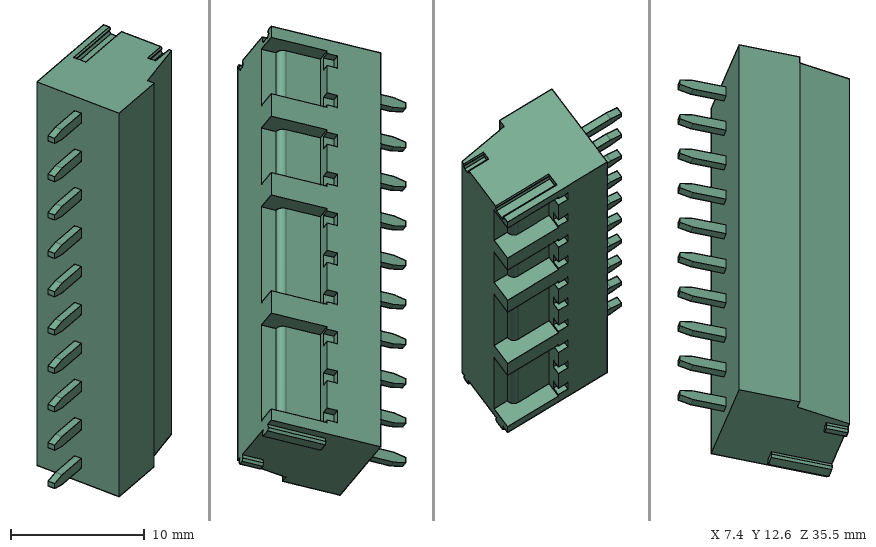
import cadquery as cq

TOTAL_HEIGHT = 35.55
KEY_HEIGHT = 0.57
BODY_HEIGHT = TOTAL_HEIGHT - KEY_HEIGHT
BODY_WIDTH = 7.4
BODY_DEPTH = 9.0

STEP_Y = 4.73
STEP_WIDTH = 0.6
BACK_WIDTH = 6.1

PIN_COUNT = 10
PITCH = BODY_HEIGHT / PIN_COUNT
PIN_LENGTH = 3.6
PIN_THICKNESS = 0.6
PIN_HEIGHT = 0.9
PIN_TIP_LENGTH = 1.0
PIN_TIP_HEIGHT = 0.45

RIB_POSITIONS = [0, 2, 4, 7, 10]
RIB_HALF_HEIGHT = 1.0
RECESS_FRONT_Y = 4.4
RECESS_DEPTH = 1.25
RECESS_BACK_DEPTH = 1.8
RECESS_ROUND = RECESS_BACK_DEPTH - RECESS_DEPTH
RECESS_ROUND_Y = 7.2

NOTCH_LENGTH = 0.85
NOTCH_DEPTH = 0.68
NOTCH_HEIGHT = 1.05

KEYS = [
    (1.05, 1.1, 0.85, 4.73, 4.8),
    (5.5, 0.7, 0.5, 1.7, 1.78),
]
KEY_WIDEST_DEPTH = 0.35
KEY_CHAMFER = 0.15
LIP_DEPTH = 0.15


def make_body():
    outline = [
        (0, 0),
        (BODY_WIDTH, 0),
        (BODY_WIDTH, STEP_Y),
        (BODY_WIDTH - STEP_WIDTH, STEP_Y),
        (BACK_WIDTH, BODY_DEPTH),
        (0, BODY_DEPTH),
    ]
    return cq.Workplane("XY").polyline(outline).close().extrude(BODY_HEIGHT)


def make_recess(bottom, top):
    """Side recess that deepens towards the back over a quarter round."""
    return (
        cq.Workplane("XY", origin=(0, 0, bottom))
        .moveTo(0, RECESS_FRONT_Y)
        .lineTo(RECESS_DEPTH, RECESS_FRONT_Y)
        .lineTo(RECESS_DEPTH, RECESS_ROUND_Y)
        .radiusArc((RECESS_BACK_DEPTH, RECESS_ROUND_Y + RECESS_ROUND), RECESS_ROUND)
        .lineTo(RECESS_BACK_DEPTH, BODY_DEPTH)
        .lineTo(0, BODY_DEPTH)
        .close()
        .extrude(top - bottom)
    )


def make_notch(z):
    return (
        cq.Workplane("XY")
        .box(NOTCH_DEPTH, NOTCH_LENGTH, NOTCH_HEIGHT, centered=(False, False, True))
        .translate((0, RECESS_FRONT_Y - NOTCH_LENGTH, z))
    )


def make_pin(z):
    """Flat pin whose height tapers towards the tip while its thickness stays constant."""
    taper_y = PIN_TIP_LENGTH - PIN_LENGTH
    side_outline = [
        (0, PIN_HEIGHT / 2),
        (taper_y, PIN_HEIGHT / 2),
        (-PIN_LENGTH, PIN_TIP_HEIGHT / 2),
        (-PIN_LENGTH, -PIN_TIP_HEIGHT / 2),
        (taper_y, -PIN_HEIGHT / 2),
        (0, -PIN_HEIGHT / 2),
    ]
    return (
        cq.Workplane("YZ", origin=(BODY_WIDTH / 2, 0, z))
        .polyline(side_outline)
        .close()
        .extrude(PIN_THICKNESS / 2, both=True)
    )


def extrude_key_profile(half_profile, center_x, z, length):
    """Mirror a half profile (half width, height) and run it forward from the back face."""
    mirrored = [(-x, height) for x, height in reversed(half_profile)]
    return (
        cq.Workplane("XZ", origin=(center_x, BODY_DEPTH, z))
        .polyline(half_profile + mirrored)
        .close()
        .extrude(length)
    )


def make_key(center_x, widest, neck, length):
    half_profile = [
        (neck / 2, 0),
        (widest / 2, -KEY_WIDEST_DEPTH),
        (widest / 2 - KEY_CHAMFER, -KEY_HEIGHT),
    ]
    return extrude_key_profile(half_profile, center_x, 0, length)


def make_keyway(center_x, widest, neck, length):
    half_profile = [
        (widest / 2, 0),
        (neck / 2, -LIP_DEPTH),
        (widest / 2, -KEY_WIDEST_DEPTH),
        (widest / 2 - KEY_CHAMFER, -KEY_HEIGHT),
    ]
    return extrude_key_profile(half_profile, center_x, BODY_HEIGHT, length)


result = make_body()

for upper_rib, lower_rib in zip(RIB_POSITIONS, RIB_POSITIONS[1:]):
    recess_top = BODY_HEIGHT - upper_rib * PITCH - RIB_HALF_HEIGHT
    recess_bottom = BODY_HEIGHT - lower_rib * PITCH + RIB_HALF_HEIGHT
    result = result.cut(make_recess(recess_bottom, recess_top))

for index in range(PIN_COUNT):
    pin_z = (index + 0.5) * PITCH
    result = result.cut(make_notch(pin_z)).union(make_pin(pin_z))

for key_x, widest_width, neck_width, key_length, keyway_length in KEYS:
    result = result.cut(make_keyway(key_x, widest_width, neck_width, keyway_length))
    result = result.union(make_key(key_x, widest_width, neck_width, key_length))